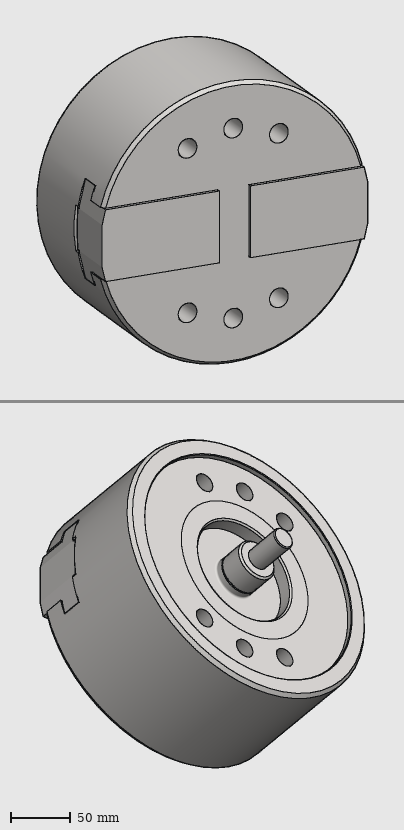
import cadquery as cq
import math


housing_radius = 127.0
housing_length = 124.0
rim_chamfer_axial = 3.7
rim_chamfer_radial = 3.0

cover_radius = 110.3
cover_recess = 5.2
cover_thickness = 20.0
recess_edge_chamfer = 0.7
ring_radius = 67.8
ring_bore_radius = 49.2
ring_edge_chamfer = 1.6

piston_face_x = 19.5
piston_thickness = 12.0
boss_top_x = 11.0
boss_chamfer = 1.3
boss_root_fillet = 1.8

sleeve_radius = 19.05
sleeve_end_x = -12.8
sleeve_chamfer = 1.8
shaft_radius = 9.9
shaft_end_x = -48.95
shaft_chamfer = 0.9

hole_diameter = 17.5
hole_circle_radius = 85.7
hole_spacing_angle = 30.0

jaw_end_x = 127.36
jaw_neck_width = 64.8
jaw_neck_length = 26.2
jaw_flange_width = 90.2
jaw_flange_length = 19.5
jaw_key_width = 38.1
jaw_key_length = 48.5
jaw_inner_y = 14.6
jaw_flat_y = 124.6
jaw_corner_y = 118.3
key_slot_chamfer = 1.8

cover_back_x = cover_recess + cover_thickness
piston_back_x = piston_face_x + piston_thickness
jaw_shoulder_x = jaw_end_x - jaw_neck_length
jaw_flange_x = jaw_shoulder_x - jaw_flange_length
jaw_key_x = jaw_end_x - jaw_key_length


def disc(radius, x_start, x_end):
    """Cylinder along X between two stations."""
    return cq.Workplane("YZ", origin=(x_start, 0, 0)).circle(radius).extrude(x_end - x_start)


def bar_along_y(x_start, x_end, y_start, y_end, width):
    """Rectangular bar along Y, centred on Z = 0."""
    size = (x_end - x_start, y_end - y_start, width)
    return cq.Workplane("XY").box(*size, centered=(False, False, True)).translate((x_start, y_start, 0))


def through_holes(x_start, x_end):
    """Cutting cylinders for the six through holes."""
    centres = []
    for middle_angle in (90, 270):
        for step in (-1, 0, 1):
            angle = math.radians(middle_angle + step * hole_spacing_angle)
            centres.append((hole_circle_radius * math.cos(angle), hole_circle_radius * math.sin(angle)))
    plane = cq.Workplane("YZ", origin=(x_start, 0, 0))
    return plane.pushPoints(centres).circle(hole_diameter / 2).extrude(x_end - x_start)


def on_side(shape, side):
    """Keep a shape on the +Y side, or mirror it to the -Y side."""
    return shape if side > 0 else shape.mirror("XZ")


def jaw_prism(y_outer):
    """T-section with its key, from the inner end of a jaw out to the given Y."""
    neck = bar_along_y(jaw_shoulder_x, jaw_end_x, jaw_inner_y, y_outer, jaw_neck_width)
    flange = bar_along_y(jaw_flange_x, jaw_shoulder_x, jaw_inner_y, y_outer, jaw_flange_width)
    key = bar_along_y(jaw_key_x, jaw_flange_x, jaw_inner_y, y_outer, jaw_key_width)
    return neck.union(flange).union(key)


def cut_jaw_slots(body):
    """Cut both T-slots; the mouth of each key slot is bevelled."""
    for side in (-1, 1):
        key_bar = bar_along_y(jaw_key_x, jaw_end_x, jaw_inner_y, housing_radius, jaw_key_width)
        mouth = cq.selectors.BoxSelector(
            (jaw_key_x - key_slot_chamfer, side * jaw_corner_y, -jaw_key_width),
            (housing_length - rim_chamfer_axial, side * (housing_radius + key_slot_chamfer), jaw_key_width),
        )
        body = body.cut(on_side(key_bar, side)).edges(mouth).chamfer(key_slot_chamfer)
        body = body.cut(on_side(jaw_prism(housing_radius), side))
    return body


def make_housing():
    """Drum with bevelled rims, a stepped front pocket, the holes and the jaw slots."""
    rim_radius = housing_radius - rim_chamfer_radial
    body = (
        cq.Workplane("XZ")
        .moveTo(0, 0)
        .lineTo(0, rim_radius)
        .lineTo(rim_chamfer_axial, housing_radius)
        .lineTo(housing_length - rim_chamfer_axial, housing_radius)
        .lineTo(housing_length, rim_radius)
        .lineTo(housing_length, 0)
        .close()
        .revolve(360, (0, 0, 0), (1, 0, 0))
    )
    cover_pocket = disc(cover_radius, 0, cover_back_x)
    piston_pocket = disc(ring_bore_radius, cover_back_x, piston_back_x)
    body = body.cut(cover_pocket).cut(piston_pocket)
    pocket_rim = body.faces("<X").edges(cq.selectors.RadiusNthSelector(0))
    body = pocket_rim.chamfer(recess_edge_chamfer)
    return cut_jaw_slots(body.cut(through_holes(cover_back_x, housing_length)))


def make_cover_plate():
    """Annular plate carrying the front end of the through holes."""
    plate = disc(cover_radius, cover_recess, cover_back_x)
    plate = plate.cut(disc(ring_radius, cover_recess, cover_back_x))
    return plate.cut(through_holes(cover_recess, cover_back_x))


def make_ring():
    """Ring inside the cover plate with a bevelled bore."""
    ring = disc(ring_radius, cover_recess, cover_back_x)
    ring = ring.cut(disc(ring_bore_radius, cover_recess, cover_back_x))
    bore_edge = ring.faces("<X").edges(cq.selectors.RadiusNthSelector(0))
    return bore_edge.chamfer(ring_edge_chamfer)


def make_piston():
    """Disc with a filleted boss as wide as the sleeve, bored for the shaft."""
    piston = disc(ring_bore_radius, piston_face_x, piston_back_x)
    boss = disc(sleeve_radius, boss_top_x, piston_face_x).faces("<X").chamfer(boss_chamfer)
    boss_root = cq.selectors.NearestToPointSelector(boss.faces(">X").edges().val().Center())
    piston = piston.union(boss).edges(boss_root).fillet(boss_root_fillet)
    return piston.cut(disc(shaft_radius, boss_top_x, piston_back_x))


def make_sleeve():
    """Sleeve standing on the piston boss, bored for the shaft."""
    sleeve = disc(sleeve_radius, sleeve_end_x, boss_top_x).faces("<X").chamfer(sleeve_chamfer)
    return sleeve.cut(disc(shaft_radius, sleeve_end_x, boss_top_x))


def make_shaft():
    """Plain shaft with a bevelled end."""
    return disc(shaft_radius, shaft_end_x, piston_back_x).faces("<X").chamfer(shaft_chamfer)


def make_jaw(side):
    """T-jaw on one side of the axis; its outer end has a flat across the key and slopes beside it."""
    half_key = jaw_key_width / 2
    half_flange = jaw_flange_width / 2
    outline = (
        cq.Workplane("YZ", origin=(jaw_key_x, 0, 0))
        .moveTo(jaw_inner_y, -half_flange)
        .lineTo(jaw_corner_y, -half_flange)
        .lineTo(jaw_flat_y, -half_key)
        .lineTo(jaw_flat_y, half_key)
        .lineTo(jaw_corner_y, half_flange)
        .lineTo(jaw_inner_y, half_flange)
        .close()
        .extrude(jaw_key_length)
    )
    return on_side(jaw_prism(jaw_flat_y).intersect(outline), side)


housing = make_housing()
cover_plate = make_cover_plate()
ring = make_ring()
piston = make_piston()
sleeve = make_sleeve()
shaft = make_shaft()
jaws = [make_jaw(side).val() for side in (-1, 1)]

result = cq.Compound.makeCompound(
    [housing.val(), cover_plate.val(), ring.val(), piston.val(), sleeve.val(), shaft.val(), *jaws]
)